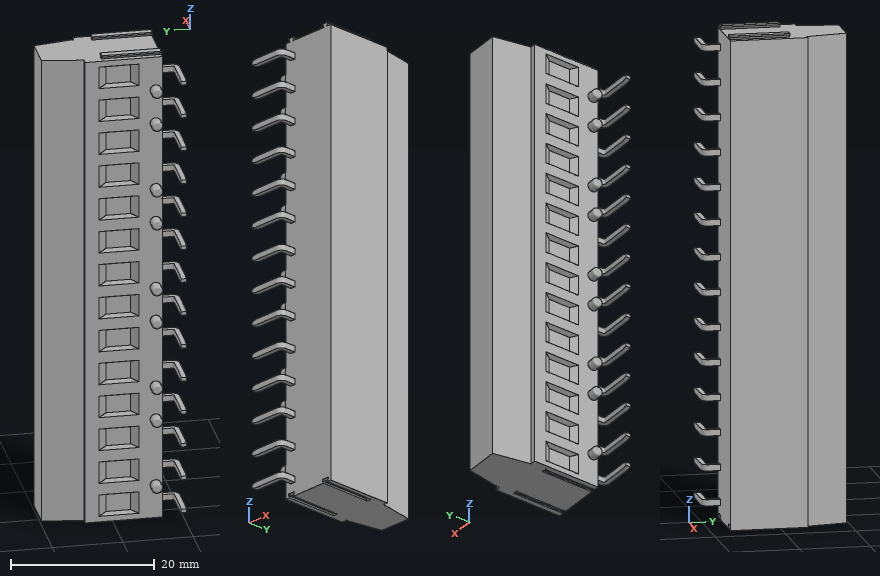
import cadquery as cq


pole_count = 14
height = 70.0
pitch = height / pole_count
depth = 9.0
shoulder_y = 11.0
nose_y = 16.85
nose_base_left = 0.85
nose_base_right = 8.3
nose_tip_left = 1.9
nose_tip_right = 7.3

rail_height = 0.55
rail_lip = 0.2
rail_length = 8.55
rail_neck = 0.6
rail_head = 1.05
rail_inset = 1.1
groove_depth = 0.6
groove_neck = 0.6
groove_head = 1.1

window_y_low = 3.4
window_y_high = 9.0
window_height = 3.25
window_depth = 0.8
floor_y_low = 4.4
floor_y_high = 7.9
floor_height = 2.6

peg_y = 1.0
peg_diameter = 1.55
peg_length = 1.5
peg_tip_radius = 0.35
peg_group = 3

pin_thickness = 0.8
pin_width = 0.9
pin_leg_x = 1.05
pin_tip_x = -4.1
pin_bottom_y = -2.6
pin_bend_radius = 1.0
pin_inner_radius = pin_bend_radius - pin_thickness
pin_tip_length = 0.85
pin_tip_taper = 0.175


def make_housing():
    profile = [
        (0, 0),
        (depth, 0),
        (depth, shoulder_y),
        (nose_base_right, shoulder_y),
        (nose_tip_right, nose_y),
        (nose_tip_left, nose_y),
        (nose_base_left, shoulder_y),
        (0, shoulder_y),
    ]
    return cq.Workplane("XY").polyline(profile).close().extrude(height)


def dovetail_bar(center_x, base_z, neck, head, tall):
    """Bar along Y that widens from neck to head with increasing Z and ends in a straight-sided lip."""
    profile = [
        (center_x - neck / 2, base_z),
        (center_x + neck / 2, base_z),
        (center_x + head / 2, base_z + tall - rail_lip),
        (center_x + head / 2, base_z + tall),
        (center_x - head / 2, base_z + tall),
        (center_x - head / 2, base_z + tall - rail_lip),
    ]
    return cq.Workplane("XZ").polyline(profile).close().extrude(-rail_length)


def make_wire_entry(center_z):
    """Tapered pocket: a wide mouth on the X = 0 face narrowing to its floor."""
    mouth_y = (window_y_low + window_y_high) / 2
    floor_y = (floor_y_low + floor_y_high) / 2
    return (
        cq.Workplane("YZ")
        .center(mouth_y, center_z)
        .rect(window_y_high - window_y_low, window_height)
        .workplane(offset=window_depth)
        .center(floor_y - mouth_y, 0)
        .rect(floor_y_high - floor_y_low, floor_height)
        .loft(ruled=True)
    )


def make_peg(center_z):
    peg = cq.Workplane("YZ").center(peg_y, center_z).circle(peg_diameter / 2).extrude(-peg_length)
    return peg.faces("<X").edges().fillet(peg_tip_radius)


def make_pin(center_z):
    leg_outer_x = pin_leg_x + pin_thickness
    foot_top_y = pin_bottom_y + pin_thickness
    bent = (
        cq.Workplane("XY", origin=(0, 0, center_z))
        .moveTo(leg_outer_x, 0)
        .lineTo(leg_outer_x, pin_bottom_y + pin_bend_radius)
        .radiusArc((leg_outer_x - pin_bend_radius, pin_bottom_y), pin_bend_radius)
        .lineTo(pin_tip_x, pin_bottom_y)
        .lineTo(pin_tip_x, foot_top_y)
        .lineTo(pin_leg_x - pin_inner_radius, foot_top_y)
        .radiusArc((pin_leg_x, foot_top_y + pin_inner_radius), -pin_inner_radius)
        .lineTo(pin_leg_x, 0)
        .close()
        .extrude(pin_width / 2, both=True)
    )
    return bent.faces("<X").edges("|Y").chamfer(pin_tip_length, pin_tip_taper)


result = make_housing()

for center_x in (rail_inset, depth - rail_inset):
    rail = dovetail_bar(center_x, height, rail_neck, rail_head, rail_height)
    groove = dovetail_bar(center_x, 0, groove_neck, groove_head, groove_depth)
    result = result.union(rail).cut(groove)

for pole in range(pole_count):
    pole_z = height - (pole + 0.5) * pitch
    result = result.cut(make_wire_entry(pole_z)).union(make_pin(pole_z))

for gap in range(1, pole_count):
    if gap % peg_group != 0:
        result = result.union(make_peg(height - gap * pitch))